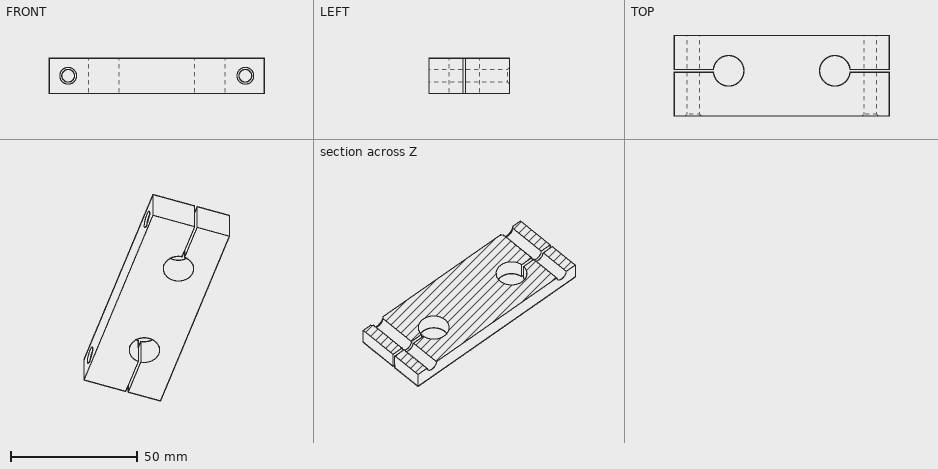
import cadquery as cq

length = 85.0
width = 32.0
height = 14.0

bore_diameter = 12.0
bore_spacing = 42.0
bore_to_back = 14.0
slot_width = 1.0

screw_diameter = 4.9
screw_mouth_diameter = 6.6
screw_spacing = 70.0
mouth_depth = (screw_mouth_diameter - screw_diameter) / 2

bore_y = width / 2 - bore_to_back
front_y = -width / 2


def slotted_bore(side):
    """Vertical bore and its slot; side is -1 for the left end, 1 for the right."""
    bore_x = side * bore_spacing / 2
    slot_length = (length - bore_spacing) / 2
    slot_x = bore_x + side * slot_length / 2
    bore = cq.Workplane("XY").center(bore_x, bore_y).circle(bore_diameter / 2).extrude(height / 2, both=True)
    slot = cq.Workplane("XY").center(slot_x, bore_y).box(slot_length, slot_width, height)
    return bore.union(slot)


def screw_hole(side):
    """Through hole along Y with a countersunk mouth on the front face."""
    profile = [
        (0, 0),
        (screw_mouth_diameter / 2, 0),
        (screw_diameter / 2, mouth_depth),
        (screw_diameter / 2, width),
        (0, width),
    ]
    hole = cq.Workplane("XY").polyline(profile).close().revolve(360, (0, 0, 0), (0, 1, 0))
    return hole.translate((side * screw_spacing / 2, front_y, 0))


result = cq.Workplane("XY").box(length, width, height)
for end in (-1, 1):
    result = result.cut(slotted_bore(end))
    result = result.cut(screw_hole(end))